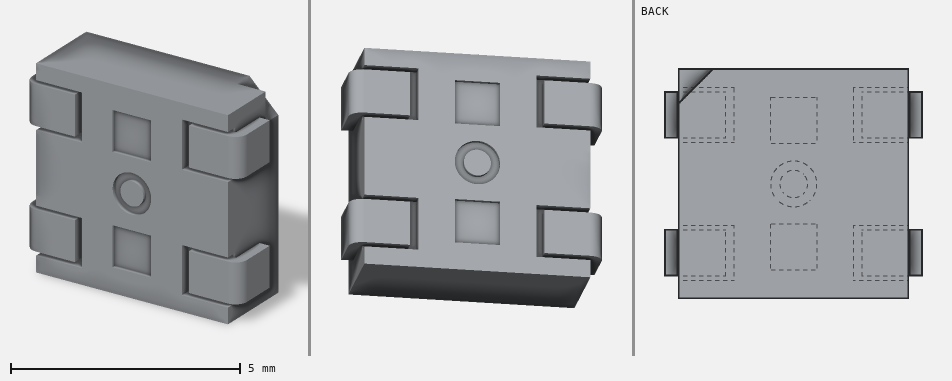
import cadquery as cq

SPAN_X = 5.6
HOUSING_SIDE = 5.0
HOUSING_DEPTH = 2.0
FRONT_Y = 0.0
EDGE_X = HOUSING_SIDE / 2

LEAD_THICKNESS = 0.265
LEAD_WIDTH = 1.0
LEAD_HEIGHT = 1.2
FOOT_LENGTH = 1.015
LEAD_OFFSET_Z = 1.5
BEND_RADIUS = (SPAN_X - HOUSING_SIDE) / 2
INNER_BEND_RADIUS = BEND_RADIUS - LEAD_THICKNESS

RECESS_SIDE = 1.2

POCKET_SIDE = 1.0
POCKET_OFFSET_Z = 1.38
MARK_DEPTH = 0.1
RING_OUTER_DIAMETER = 1.0
RING_INNER_DIAMETER = 0.6

NOTCH_X = 0.75
NOTCH_Y = 0.505
NOTCH_Z = NOTCH_X


def front_box(size_x, depth, size_z, center_x, center_z):
    """Box that reaches from the mounting face into the housing."""
    return (
        cq.Workplane("XY")
        .box(size_x, depth, size_z, centered=(True, False, True))
        .translate((center_x, FRONT_Y, center_z))
    )


def make_ring_groove():
    return (
        cq.Workplane("XZ", origin=(0, FRONT_Y, 0))
        .circle(RING_OUTER_DIAMETER / 2)
        .circle(RING_INNER_DIAMETER / 2)
        .extrude(-MARK_DEPTH)
    )


def make_corner_notch():
    """Triangular prism that bevels the corner over part of the depth."""
    back_y = FRONT_Y + HOUSING_DEPTH
    return (
        cq.Workplane("XZ", origin=(0, back_y, 0))
        .moveTo(EDGE_X, EDGE_X)
        .lineTo(EDGE_X - NOTCH_X, EDGE_X)
        .lineTo(EDGE_X, EDGE_X - NOTCH_Z)
        .close()
        .extrude(NOTCH_Y)
    )


def make_housing():
    housing = front_box(HOUSING_SIDE, HOUSING_DEPTH, HOUSING_SIDE, 0, 0)
    recess_x = EDGE_X - RECESS_SIDE / 2
    for side_z in (-1, 1):
        for side_x in (-1, 1):
            housing = housing.cut(
                front_box(RECESS_SIDE, LEAD_THICKNESS, RECESS_SIDE, side_x * recess_x, side_z * LEAD_OFFSET_Z)
            )
        housing = housing.cut(front_box(POCKET_SIDE, MARK_DEPTH, POCKET_SIDE, 0, side_z * POCKET_OFFSET_Z))
    return housing.cut(make_ring_groove()).cut(make_corner_notch())


def make_lead(side_x, center_z):
    """L-shaped lead on the +X side, mirrored to -X when side_x is -1."""
    outer_x = SPAN_X / 2
    foot_x = EDGE_X - FOOT_LENGTH
    tip_y = FRONT_Y + LEAD_HEIGHT
    bend_end_y = FRONT_Y + BEND_RADIUS
    lead = (
        cq.Workplane("XY", origin=(0, 0, center_z))
        .moveTo(foot_x, FRONT_Y)
        .lineTo(EDGE_X, FRONT_Y)
        .radiusArc((outer_x, bend_end_y), -BEND_RADIUS)
        .lineTo(outer_x, tip_y)
        .lineTo(outer_x - LEAD_THICKNESS, tip_y)
        .lineTo(outer_x - LEAD_THICKNESS, bend_end_y)
        .radiusArc((EDGE_X, FRONT_Y + LEAD_THICKNESS), INNER_BEND_RADIUS)
        .lineTo(foot_x, FRONT_Y + LEAD_THICKNESS)
        .close()
        .extrude(LEAD_WIDTH / 2, both=True)
    )
    return lead if side_x > 0 else lead.mirror("YZ")


housing = make_housing()
leads = []
for side_x in (-1, 1):
    for side_z in (-1, 1):
        leads.append(make_lead(side_x, side_z * LEAD_OFFSET_Z).val())

result = cq.Compound.makeCompound([housing.val(), *leads])